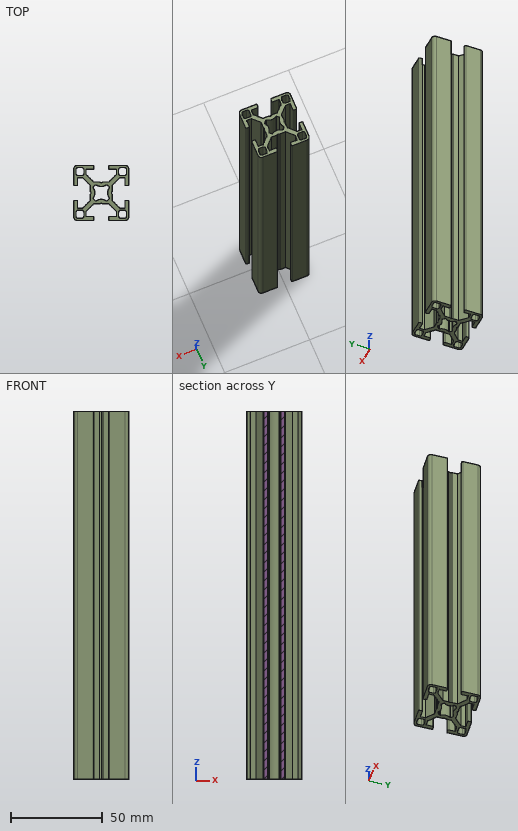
import cadquery as cq
import math

side = 30.0
length = 200.0
corner_radius = 2.0

slot_opening = 8.0
lip_thickness = 2.2
lip_edge_radius = 0.55

block_inner = 8.2
hollow_inner = 9.5
hollow_outer = 13.7
hollow_radius = 1.0

arm_width = 2.6
core_side = 12.0
groove_half_width = 0.9
groove_depth = 0.4

bore_side = 8.6
bore_corner_flat = 1.1
rib_half_width = 2.7
rib_height = 0.9

half_side = side / 2
half_core = core_side / 2
half_opening = slot_opening / 2


def quarter_turns(points):
    """Yield the point list turned about the centre by 0, 90, 180 and 270 degrees."""
    for _ in range(4):
        yield points
        points = [(-y, x) for x, y in points]


def prism(points):
    """Straight bar of the full length with the given cross-section."""
    return cq.Workplane("XY").polyline(points).close().extrude(length)


def slot_cutter():
    """Void of the T-slot on the +Y side: opening, undercut and the taper down to the core."""
    lip_inside = half_side - lip_thickness
    arm_offset = arm_width / 2 * math.sqrt(2)
    right_half = [
        (half_opening, half_side),
        (half_opening, lip_inside),
        (block_inner, lip_inside),
        (block_inner, block_inner + arm_offset),
        (half_core - arm_offset, half_core),
        (groove_half_width, half_core),
    ]
    groove_bottom = (0, half_core - groove_depth)
    left_half = [(-x, y) for x, y in reversed(right_half)]
    return right_half + [groove_bottom] + left_half


def slotted_bar():
    """Square bar with rounded corners and the four T-slots cut in."""
    bar = cq.Workplane("XY").rect(side, side).extrude(length)
    bar = bar.edges("|Z").fillet(corner_radius)
    for points in quarter_turns(slot_cutter()):
        bar = bar.cut(prism(points))
    return bar


def round_lips(bar):
    """Round both edges of every lip tip."""
    reach = lip_edge_radius / 2
    for depth in (half_side, half_side - lip_thickness):
        for tip in (-half_opening, half_opening):
            for [(x, y)] in quarter_turns([(tip, depth)]):
                around_edge = cq.selectors.BoxSelector(
                    (x - reach, y - reach, 0),
                    (x + reach, y + reach, length),
                )
                bar = bar.edges("|Z").edges(around_edge).fillet(lip_edge_radius)
    return bar


def corner_hollows():
    """Voids of the four corner blocks."""
    size = hollow_outer - hollow_inner
    offset = (hollow_outer + hollow_inner) / 2
    centres = [(x, y) for x in (-offset, offset) for y in (-offset, offset)]
    hollows = cq.Workplane("XY").pushPoints(centres).rect(size, size).extrude(length)
    return hollows.edges("|Z").fillet(hollow_radius)


def core_bore():
    """Void through the middle of the core."""
    half_bore = bore_side / 2
    corner_start = half_bore - bore_corner_flat
    wall = [
        (corner_start, half_bore),
        (rib_half_width, half_bore),
        (0, half_bore - rib_height),
        (-rib_half_width, half_bore),
        (-corner_start, half_bore),
    ]
    outline = cq.Workplane("XY").moveTo(half_bore, corner_start)
    for wall_start, rib_start, rib_top, rib_end, wall_end in quarter_turns(wall):
        outline = outline.lineTo(*wall_start).lineTo(*rib_start)
        outline = outline.threePointArc(rib_top, rib_end).lineTo(*wall_end)
    return outline.close().extrude(length)


result = round_lips(slotted_bar()).cut(corner_hollows()).cut(core_bore())